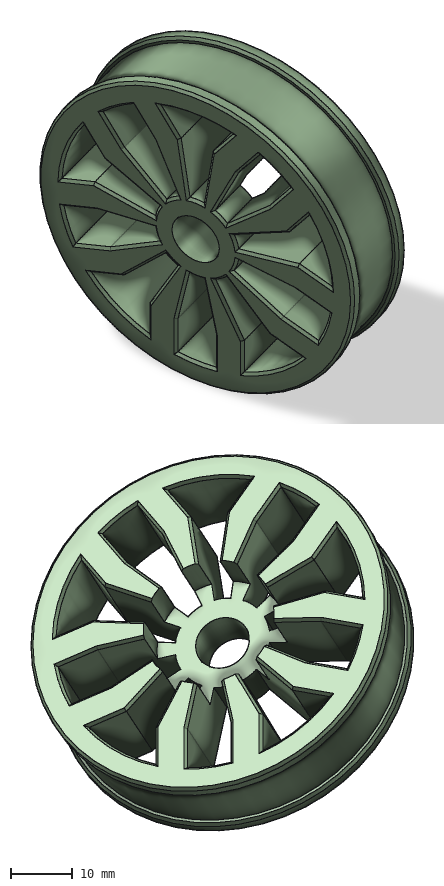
import cadquery as cq
import math

wheel_radius = 30.0
wheel_width = 16.0
bore_radius = 4.5
edge_chamfer = 0.5

flange_width = 2.5
groove_depth = 0.95

hub_radius = 8.0
rim_inner_radius = 25.8
spoke_pairs = 5
pitch_angle = 360 / spoke_pairs

seat_radius = 11.0
seat_depth = wheel_width / 2

narrow_hub_half_width = 1.45
narrow_half_width = 3.65
narrow_bend_height = 18.55

wide_hub_half_width = 1.4
wide_bend_half_width = 3.05
wide_bend_height = 19.5
wide_flare_angle = math.radians(pitch_angle / 2)


def height_on_circle(radius, half_width):
    return math.sqrt(radius**2 - half_width**2)


def narrow_rim_corner():
    return narrow_half_width, height_on_circle(rim_inner_radius, narrow_half_width)


def wide_rim_corner():
    """Point where the flared side of a wide window meets the inside of the rim."""
    flare_x = math.sin(wide_flare_angle)
    flare_z = math.cos(wide_flare_angle)
    along = wide_bend_half_width * flare_x + wide_bend_height * flare_z
    across = wide_bend_half_width * flare_z - wide_bend_height * flare_x
    flare_length = height_on_circle(rim_inner_radius, across) - along
    return wide_bend_half_width + flare_length * flare_x, wide_bend_height + flare_length * flare_z


def window_cutter(hub_half_width, bend, rim_corner, angle):
    """Prism through the wheel; the window points along +Z before it is turned about Y."""
    hub_height = height_on_circle(hub_radius, hub_half_width)
    bend_x, bend_z = bend
    rim_x, rim_z = rim_corner
    return (
        cq.Workplane("XZ")
        .moveTo(hub_half_width, hub_height)
        .lineTo(bend_x, bend_z)
        .lineTo(rim_x, rim_z)
        .threePointArc((0, rim_inner_radius), (-rim_x, rim_z))
        .lineTo(-bend_x, bend_z)
        .lineTo(-hub_half_width, hub_height)
        .threePointArc((0, hub_radius), (hub_half_width, hub_height))
        .close()
        .extrude(wheel_width, both=True)
        .rotate((0, 0, 0), (0, 1, 0), angle)
    )


def flanged_disc():
    disc = cq.Workplane("XZ").circle(wheel_radius).extrude(wheel_width / 2, both=True)
    groove = (
        cq.Workplane("XZ")
        .circle(wheel_radius)
        .circle(wheel_radius - groove_depth)
        .extrude(wheel_width / 2 - flange_width, both=True)
    )
    outer_edges = cq.selectors.RadiusNthSelector(-1)
    return disc.cut(groove).edges(outer_edges).chamfer(edge_chamfer)


wheel = flanged_disc()

for index in range(spoke_pairs):
    wide_angle = index * pitch_angle
    narrow_angle = wide_angle + 180
    wheel = wheel.cut(
        window_cutter(
            wide_hub_half_width,
            (wide_bend_half_width, wide_bend_height),
            wide_rim_corner(),
            wide_angle,
        )
    )
    wheel = wheel.cut(
        window_cutter(
            narrow_hub_half_width,
            (narrow_half_width, narrow_bend_height),
            narrow_rim_corner(),
            narrow_angle,
        )
    )

for side in ("<Y", ">Y"):
    window_outlines = wheel.faces(side).val().innerWires()
    window_edges = [edge for outline in window_outlines for edge in outline.Edges()]
    wheel = wheel.newObject(window_edges).chamfer(edge_chamfer)

seat = cq.Workplane("XZ", origin=(0, wheel_width / 2, 0)).circle(seat_radius).extrude(seat_depth)
wheel = wheel.cut(seat)

bore = cq.Workplane("XZ").circle(bore_radius).extrude(wheel_width, both=True)
result = wheel.cut(bore)